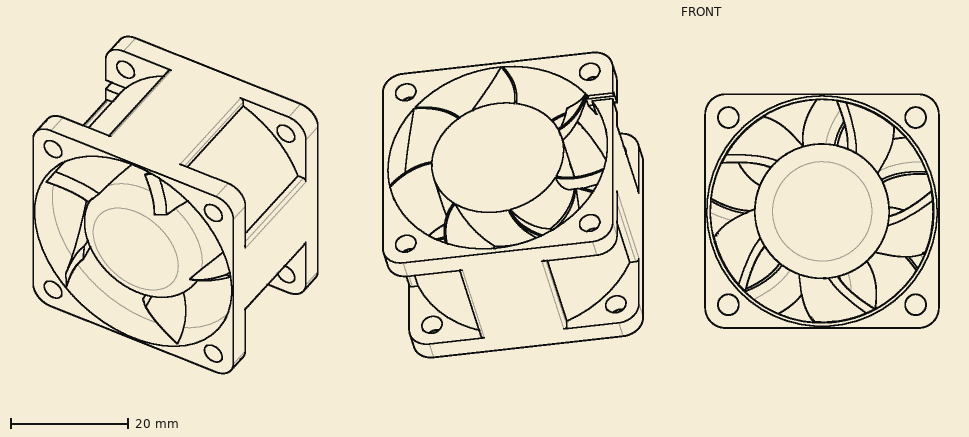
import cadquery as cq

FRAME_SIZE = 40.0
FRAME_DEPTH = 28.0
FLANGE_THICKNESS = 4.0
CORNER_RADIUS = 3.5
MOUNT_HOLE_DIAMETER = 3.5
MOUNT_HOLE_PITCH = 32.0
BARREL_RADIUS = 19.9
FLAT_HALF_WIDTH = 7.5
FLAT_EDGE_RADIUS = 0.55

BORE_DIAMETER = 38.2
INLET_DIAMETER = 39.4
INLET_DEPTH = 4.8

SLOT_BOTTOM = 9.75
SLOT_TOP = 11.8
SLOT_LIP_BOTTOM = 10.95
SLOT_LIP_THICKNESS = 0.9
SLOT_INNER_X = -14.4

HUB_DIAMETER = 23.0
HUB_FRONT = 0.75
HUB_REAR = 17.2
HUB_ROUNDING = 3.0

BLADE_COUNT = 5
BLADE_PHASE = 32.0
BLADE_FRONT = -0.3
BLADE_REAR = 16.8
BLADE_TIP_DIAMETER = 38.05

VANE_COUNT = 7
VANE_FRONT = 18.0
VANE_BASE_DIAMETER = 22.95

TAIL_THICKNESS = 0.3
CLOCKWISE = 1
COUNTER_CLOCKWISE = -1
BLADE_BEVEL_DEPTH = 1.7
VANE_BEVEL_DEPTH = 1.3
BLADE_NOSE_WIDTH = 0.1
VANE_NOSE_WIDTH = 0.5
BLADE_CAMBER = -0.8
VANE_CAMBER = 0.8

BLADE_SECTIONS = [
    (9.6, -1.25, 0.55, 4.7),
    (13.6, -3.55, -1.75, 4.5),
    (17.6, -8.25, -5.9, 3.5),
    (20.0, -11.6, -8.75, 1.8),
]
VANE_SECTIONS = [
    (9.6, -2.5, -0.5, 2.9),
    (13.6, -3.35, -1.1, 3.25),
    (17.6, -5.95, -3.25, 1.85),
    (20.0, -8.4, -5.1, 0.2),
]


def cylinder_y(diameter, start, end):
    """Cylinder about the Y axis between two Y positions."""
    return cq.Workplane("XZ", origin=(0, start, 0)).circle(diameter / 2).extrude(start - end)


def box_between(low, high):
    """Box spanning two opposite corners."""
    size = [b - a for a, b in zip(low, high)]
    return cq.Workplane("XY").box(*size, centered=False).translate(low)


def turned_about_y(shape, angle):
    """Copy turned clockwise about the Y axis, as seen from the front."""
    return shape.rotate((0, 0, 0), (0, 1, 0), angle)


def section_wire(section, front, rear, swing, nose_width, bevel_depth, camber):
    """Closed aerofoil outline: blunt bevelled nose, two bowed sides, thin tail."""
    height, nose, shoulder, tail = section
    shoulder_y = front + bevel_depth
    back_tail = tail - TAIL_THICKNESS
    face_middle = ((shoulder + tail) / 2 + camber, (shoulder_y + rear) / 2)
    back_middle = ((nose + back_tail) / 2 + camber, (front + rear) / 2)

    def place(across, y):
        return (swing * across, y)

    outline = (
        cq.Workplane("XY", origin=(0, 0, height))
        .moveTo(*place(nose, front))
        .lineTo(*place(nose + nose_width, front))
        .lineTo(*place(shoulder, shoulder_y))
        .threePointArc(place(*face_middle), place(tail, rear))
        .lineTo(*place(back_tail, rear))
        .threePointArc(place(*back_middle), place(nose, front))
        .close()
    )
    return outline.val()


def aerofoil(wires, front, rear, root_diameter, tip_diameter):
    """Twisted blade along +Z, trimmed to the ring between root and tip diameters."""
    loft = cq.Workplane(cq.Solid.makeLoft(wires))
    ring = cylinder_y(tip_diameter, front, rear).cut(cylinder_y(root_diameter, front, rear))
    return loft.intersect(ring)


def make_vane():
    """Fixed vane whose tail swings counter-clockwise, seen from the front."""
    wires = [
        section_wire(
            section, VANE_FRONT, FRAME_DEPTH, COUNTER_CLOCKWISE, VANE_NOSE_WIDTH, VANE_BEVEL_DEPTH, VANE_CAMBER
        )
        for section in VANE_SECTIONS
    ]
    return aerofoil(wires, VANE_FRONT, FRAME_DEPTH, VANE_BASE_DIAMETER, BORE_DIAMETER)


def make_blade():
    """Rotor blade whose tail swings clockwise, seen from the front."""
    wires = [
        section_wire(
            section, BLADE_FRONT, BLADE_REAR, CLOCKWISE, BLADE_NOSE_WIDTH, BLADE_BEVEL_DEPTH, BLADE_CAMBER
        )
        for section in BLADE_SECTIONS
    ]
    return aerofoil(wires, BLADE_FRONT, BLADE_REAR, HUB_DIAMETER, BLADE_TIP_DIAMETER)


def make_frame_shell():
    block = cq.Workplane("XZ").rect(FRAME_SIZE, FRAME_SIZE).extrude(-FRAME_DEPTH)
    plate = block.edges("|Y").fillet(CORNER_RADIUS)
    rear_flange_front = FRAME_DEPTH - FLANGE_THICKNESS

    flat_width = 2 * FLAT_HALF_WIDTH
    middle_length = rear_flange_front - FLANGE_THICKNESS
    middle_plane = cq.Workplane("XZ", origin=(0, FLANGE_THICKNESS, 0))
    upright = middle_plane.rect(flat_width, FRAME_SIZE).extrude(-middle_length)
    upright = upright.edges("|Y").fillet(FLAT_EDGE_RADIUS)
    core = cylinder_y(2 * BARREL_RADIUS, FLANGE_THICKNESS, rear_flange_front)
    core = core.union(upright).union(turned_about_y(upright, 90))

    middle_band = middle_plane.rect(2 * FRAME_SIZE, 2 * FRAME_SIZE).extrude(-middle_length)
    shell = plate.cut(middle_band).union(core)

    holes = (
        cq.Workplane("XZ")
        .rect(MOUNT_HOLE_PITCH, MOUNT_HOLE_PITCH, forConstruction=True)
        .vertices()
        .circle(MOUNT_HOLE_DIAMETER / 2)
        .extrude(-FRAME_DEPTH)
    )
    return shell.cut(holes)


def air_passage():
    bore = cylinder_y(BORE_DIAMETER, 0, FRAME_DEPTH)
    inlet = cq.Workplane(
        cq.Solid.makeCone(
            INLET_DIAMETER / 2, BORE_DIAMETER / 2, INLET_DEPTH, cq.Vector(0, 0, 0), cq.Vector(0, 1, 0)
        )
    )
    return bore.union(inlet)


def cable_slot():
    """Slot through the rear flange, narrowed by a lip at the rear face."""
    outer_x = -FRAME_SIZE / 2
    slot_front = FRAME_DEPTH - FLANGE_THICKNESS
    lip_front = FRAME_DEPTH - SLOT_LIP_THICKNESS
    wide = box_between((outer_x, slot_front, SLOT_BOTTOM), (SLOT_INNER_X, lip_front, SLOT_TOP))
    narrow = box_between((outer_x, lip_front, SLOT_BOTTOM), (SLOT_INNER_X, FRAME_DEPTH, SLOT_LIP_BOTTOM))
    return wide.union(narrow)


def make_frame():
    frame = make_frame_shell().cut(air_passage()).cut(cable_slot())
    frame = frame.union(cylinder_y(VANE_BASE_DIAMETER, VANE_FRONT, FRAME_DEPTH))
    vane = make_vane()
    for index in range(VANE_COUNT):
        frame = frame.union(turned_about_y(vane, index * 360 / VANE_COUNT))
    return frame


def make_hub():
    return cylinder_y(HUB_DIAMETER, HUB_FRONT, HUB_REAR).faces("<Y").edges().fillet(HUB_ROUNDING)


def make_blades():
    blade = make_blade()
    step = 360 / BLADE_COUNT
    return [turned_about_y(blade, BLADE_PHASE + index * step) for index in range(BLADE_COUNT)]


frame = make_frame()
hub = make_hub()
blades = make_blades()

bodies = [frame, hub, *blades]
result = cq.Compound.makeCompound([body.solids().val() for body in bodies])